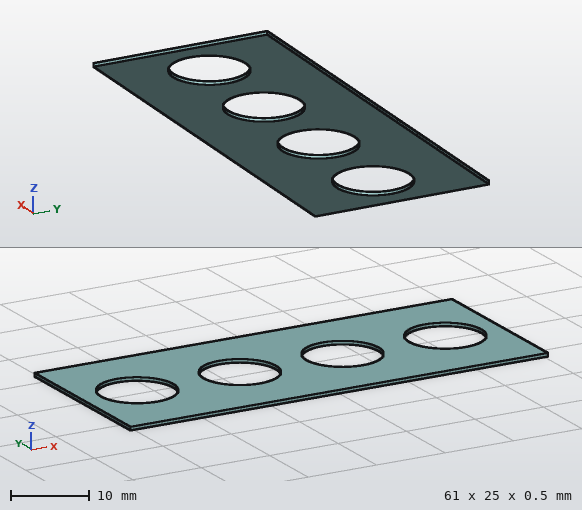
import cadquery as cq

plate_length = 61.0
plate_width = 25.0
plate_thickness = 0.5

hole_count = 4
hole_diameter = 10.5
hole_pitch = 15.0

plate = cq.Workplane("XY").box(plate_length, plate_width, plate_thickness)

result = (
    plate.faces(">Z")
    .workplane()
    .rarray(hole_pitch, 0.6, hole_count, 1)
    .hole(hole_diameter)
)